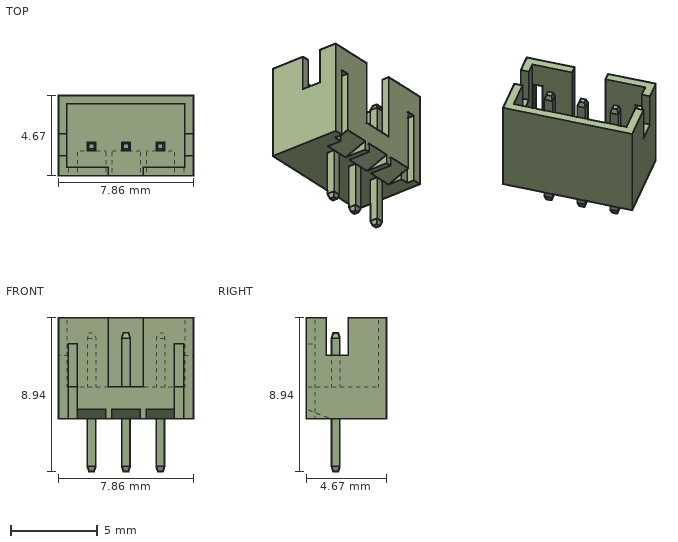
import cadquery as cq


housing_length = 7.86
housing_depth = 4.67
housing_height = 5.88
wall = 0.5
floor_height = 1.87
front_to_pins = 1.71
front_y = -front_to_pins
cavity_length = housing_length - 2 * wall
cavity_depth = housing_depth - 2 * wall

pin_count = 3
pin_pitch = 2.0
pin_width = 0.5
pin_tip_width = 0.3
pin_taper = 0.3
pin_top = 4.99
pin_bottom = -3.06
pin_positions = [(i - (pin_count - 1) / 2) * pin_pitch for i in range(pin_count)]

front_opening_width = 2.03

end_notch_width = 1.26
end_notch_depth = 2.18
end_notch_from_front = 1.17

rib_width = 0.36
bevel_width = pin_pitch - rib_width
bevel_height = 0.57
bevel_depth = front_to_pins - pin_width / 2

slot_inner_x = pin_positions[-1] + bevel_width / 2
slot_width = 0.535
slot_top = 4.35


def box(length, depth, height, x_middle, y_start, z_start):
    """Block centred on x_middle, starting at y_start and z_start."""
    corner = cq.Vector(x_middle - length / 2, y_start, z_start)
    return cq.Workplane("XY").box(length, depth, height, centered=False).translate(corner)


def make_shell():
    """Box with an open-topped cavity."""
    outer = box(housing_length, housing_depth, housing_height, 0, front_y, 0)
    cavity_height = housing_height - floor_height
    cavity = box(cavity_length, cavity_depth, cavity_height, 0, front_y + wall, floor_height)
    return outer.cut(cavity)


def front_opening():
    opening_height = housing_height - floor_height
    return box(front_opening_width, wall, opening_height, 0, front_y, floor_height)


def end_notches():
    """One block across the full length cuts both end walls."""
    notch_y = front_y + end_notch_from_front
    notch_z = housing_height - end_notch_depth
    return box(housing_length, end_notch_width, end_notch_depth, 0, notch_y, notch_z)


def front_slot(side):
    """Slot at the left (side = -1) or right (side = 1) of the front wall."""
    slot_x = side * (slot_inner_x + slot_width / 2)
    return box(slot_width, wall, slot_top, slot_x, front_y, 0)


def front_bevel(x_middle):
    """Triangular prism that bevels the lower front edge."""
    return (
        cq.Workplane("YZ")
        .moveTo(front_y, 0)
        .lineTo(front_y + bevel_depth, 0)
        .lineTo(front_y, bevel_height)
        .close()
        .extrude(bevel_width / 2, both=True)
        .translate((x_middle, 0, 0))
    )


def tapered_tip(end_z, direction):
    """Pyramid-shaped tip whose small face is at end_z, pointing up (1) or down (-1)."""
    base_z = end_z - direction * pin_taper
    return (
        cq.Workplane("XY", origin=(0, 0, base_z))
        .rect(pin_width, pin_width)
        .workplane(offset=direction * pin_taper)
        .rect(pin_tip_width, pin_tip_width)
        .loft(ruled=True)
    )


def make_pin():
    """Square pin with both ends tapered."""
    shank_length = pin_top - pin_bottom - 2 * pin_taper
    shank = box(pin_width, pin_width, shank_length, 0, -pin_width / 2, pin_bottom + pin_taper)
    return shank.union(tapered_tip(pin_top, 1)).union(tapered_tip(pin_bottom, -1))


result = make_shell().cut(front_opening()).cut(end_notches())
for side in (-1, 1):
    result = result.cut(front_slot(side))
for pin_x in pin_positions:
    result = result.cut(front_bevel(pin_x))
for pin_x in pin_positions:
    result = result.union(make_pin().translate((pin_x, 0, 0)))